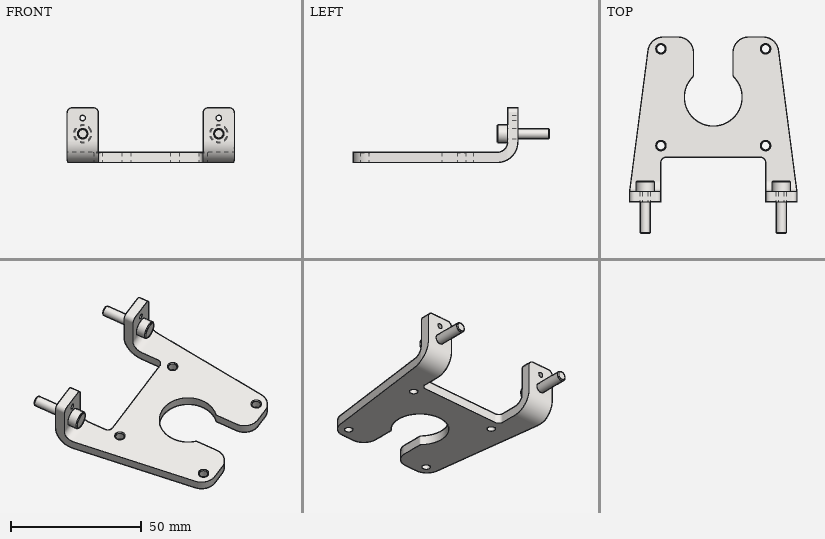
import cadquery as cq
import math

thickness = 4.0
plate_depth = 63.0
tab_height = 21.0
tab_width = 12.0
leg_gap = 40.0
notch_depth = 17.0
notch_radius = 2.0
tab_corner_radius = 2.0
rear_width = 48.6
outer_corner_radius = 6.0
mouth_corner_radius = 6.0
throat_radius = 1.0

bore_diameter = 22.0
bore_y = 40.0
slot_width = 15.0

mount_hole_diameter = 3.2
mount_hole_rim_diameter = 4.0
chamfer_angle = 45
mount_spacing_x = 40.0
mount_spacing_y = 37.0

pin_hole_diameter = 2.0
pin_hole_z = 17.0

screw_z = 11.0
shank_diameter = 4.0
shank_tip_diameter = 3.2
shank_reach = 12.0
head_diameter = 7.0
head_height = 4.0
head_chamfer = 0.4

bend_outer_radius = 2 * thickness
bend_inner_radius = bend_outer_radius - thickness
leg_inner_x = leg_gap / 2
half_width = leg_inner_x + tab_width
tab_center_x = leg_inner_x + tab_width / 2
tip_chamfer = (shank_diameter - shank_tip_diameter) / 2
mount_hole_chamfer = (mount_hole_rim_diameter - mount_hole_diameter) / 2


def cylinder_along_y(diameter, x, z, y_start, y_end):
    """Cylinder parallel to Y between two Y positions."""
    plane = cq.Plane(origin=(x, y_start, z), xDir=(1, 0, 0), normal=(0, 1, 0))
    return cq.Workplane(plane).circle(diameter / 2).extrude(y_end - y_start)


def plan_prism():
    """Plan outline of the bracket, raised to the full tab height."""
    rear_half = rear_width / 2
    half_slot = slot_width / 2
    bore_radius = bore_diameter / 2
    slot_end_y = bore_y + math.sqrt(bore_radius**2 - half_slot**2)
    prism = (
        cq.Workplane("XY")
        .moveTo(leg_inner_x, 0)
        .lineTo(half_width, 0)
        .lineTo(half_width, thickness)
        .lineTo(rear_half, plate_depth)
        .lineTo(half_slot, plate_depth)
        .lineTo(half_slot, slot_end_y)
        .threePointArc((0, bore_y - bore_radius), (-half_slot, slot_end_y))
        .lineTo(-half_slot, plate_depth)
        .lineTo(-rear_half, plate_depth)
        .lineTo(-half_width, thickness)
        .lineTo(-half_width, 0)
        .lineTo(-leg_inner_x, 0)
        .lineTo(-leg_inner_x, notch_depth)
        .lineTo(leg_inner_x, notch_depth)
        .close()
        .extrude(tab_height)
    )
    corners = (
        (rear_half, plate_depth, outer_corner_radius),
        (half_slot, plate_depth, mouth_corner_radius),
        (half_slot, slot_end_y, throat_radius),
        (leg_inner_x, notch_depth, notch_radius),
    )
    for x, y, radius in corners:
        for side in (-1, 1):
            edge = cq.selectors.NearestToPointSelector((side * x, y, tab_height / 2))
            prism = prism.edges("|Z").edges(edge).fillet(radius)
    return prism


def bent_sheet():
    """L-shaped bent sheet: flat plate along Y, upright at the front."""
    sheet = (
        cq.Workplane("YZ", origin=(-half_width, 0, 0))
        .lineTo(plate_depth, 0)
        .lineTo(plate_depth, thickness)
        .lineTo(thickness, thickness)
        .lineTo(thickness, tab_height)
        .lineTo(0, tab_height)
        .close()
        .extrude(2 * half_width)
    )
    inner_edge = cq.selectors.NearestToPointSelector((0, thickness, thickness))
    outer_edge = cq.selectors.NearestToPointSelector((0, 0, 0))
    sheet = sheet.edges("|X").edges(inner_edge).fillet(bend_inner_radius)
    return sheet.edges("|X").edges(outer_edge).fillet(bend_outer_radius)


def mount_holes():
    """Four through holes around the bore, chamfered at the upper face."""
    centers = cq.Workplane("XY").rect(mount_spacing_x, mount_spacing_y, forConstruction=True)
    holes = centers.vertices().circle(mount_hole_diameter / 2).extrude(thickness)
    rims = (
        cq.Workplane("XY", origin=(0, 0, thickness))
        .rect(mount_spacing_x, mount_spacing_y, forConstruction=True)
        .vertices()
        .circle(mount_hole_rim_diameter / 2)
        .extrude(-mount_hole_chamfer, taper=chamfer_angle)
    )
    return holes.union(rims).translate((0, bore_y, 0))


def make_bracket():
    bracket = bent_sheet().intersect(plan_prism())
    bracket = bracket.faces(">Z").edges("|Y").fillet(tab_corner_radius)
    bracket = bracket.cut(mount_holes())
    for x in (-tab_center_x, tab_center_x):
        pin_hole = cylinder_along_y(pin_hole_diameter, x, pin_hole_z, 0, thickness)
        shank_hole = cylinder_along_y(shank_diameter, x, screw_z, 0, thickness)
        head_seat = cylinder_along_y(head_diameter, x, screw_z, thickness, thickness + head_height)
        bracket = bracket.cut(pin_hole).cut(shank_hole).cut(head_seat)
    return bracket


def make_screw(x):
    """Screw through one tab, head behind the tab and shank pointing to -Y."""
    shank = cylinder_along_y(shank_diameter, x, screw_z, -shank_reach, thickness)
    shank = shank.faces("<Y").chamfer(tip_chamfer)
    head = cylinder_along_y(head_diameter, x, screw_z, thickness, thickness + head_height)
    head = head.faces(">Y").chamfer(head_chamfer)
    return shank.union(head)


bracket = make_bracket()
screws = [make_screw(x) for x in (-tab_center_x, tab_center_x)]

result = cq.Compound.makeCompound([bracket.val(), *[screw.val() for screw in screws]])